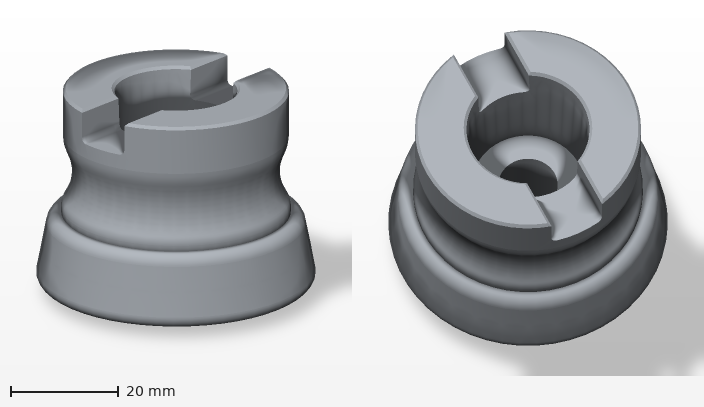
import math

import cadquery as cq

total_height = 40.0
joint_height = 15.6
hole_radius = 11.0 / 2

foot_radius = 25.95
foot_flat_radius = 14.65
foot_taper = math.radians(10.8)
foot_lower_round = 1.95
foot_upper_round = 2.5

rim_radius = 42.0 / 2
bulge_radius = 42.7 / 2
waist_radius = 19.3
waist_height = 23.65
waist_arc = 9.95
rim_bottom = 30.85
waist_top = 27.95
waist_bottom = 18.3
edge_chamfer = 0.5

bore_top_radius = 11.45
bore_floor_radius = 10.45
bore_floor_height = 18.2

slot_width = 10.5
slot_depth = 6.4
slot_corner_round = 1.05


def point_on_circle(center, radius, angle):
    return (center[0] + radius * math.cos(angle), center[1] + radius * math.sin(angle))


def revolve_profile(profile):
    """Turn a closed profile of (radius, height) about the Z axis."""
    return profile.close().revolve(360, (0, 0, 0), (0, 1, 0))


def make_foot():
    lower_r = foot_radius - foot_lower_round
    lower_z = (lower_r - foot_flat_radius) * math.tan(foot_taper) + foot_lower_round / math.cos(foot_taper)
    lower_center = (lower_r, lower_z)

    upper_z = joint_height - foot_upper_round
    upper_r = (
        lower_r
        - (upper_z - lower_z) * math.tan(foot_taper)
        + (foot_lower_round - foot_upper_round) / math.cos(foot_taper)
    )
    upper_center = (upper_r, upper_z)

    profile = (
        cq.Workplane("XZ")
        .moveTo(hole_radius, 0)
        .lineTo(foot_flat_radius, 0)
        .lineTo(*point_on_circle(lower_center, foot_lower_round, foot_taper - math.pi / 2))
        .threePointArc(
            (foot_radius, lower_z),
            point_on_circle(lower_center, foot_lower_round, foot_taper),
        )
        .lineTo(*point_on_circle(upper_center, foot_upper_round, foot_taper))
        .threePointArc(
            point_on_circle(upper_center, foot_upper_round, math.pi / 4),
            (upper_r, joint_height),
        )
        .lineTo(hole_radius, joint_height)
    )
    return revolve_profile(profile)


def waist_profile_radius(height):
    return waist_radius + waist_arc - math.sqrt(waist_arc**2 - (height - waist_height) ** 2)


def make_collar_blank():
    waist_top_radius = waist_profile_radius(waist_top)
    waist_bottom_radius = waist_profile_radius(waist_bottom)
    slope = math.asin((waist_height - waist_bottom) / waist_arc)
    bulge_arc = (bulge_radius - waist_bottom_radius) / (1 - math.cos(slope))
    bulge_top = waist_bottom - bulge_arc * math.sin(slope)

    profile = (
        cq.Workplane("XZ")
        .moveTo(hole_radius, joint_height)
        .lineTo(bulge_radius, joint_height)
        .lineTo(bulge_radius, bulge_top)
        .threePointArc(
            point_on_circle((bulge_radius - bulge_arc, bulge_top), bulge_arc, slope / 2),
            (waist_bottom_radius, waist_bottom),
        )
        .threePointArc((waist_radius, waist_height), (waist_top_radius, waist_top))
        .tangentArcPoint((rim_radius, rim_bottom), relative=False)
        .lineTo(rim_radius, total_height - edge_chamfer)
        .lineTo(rim_radius - edge_chamfer, total_height)
        .lineTo(bore_top_radius + edge_chamfer, total_height)
        .lineTo(bore_top_radius, total_height - edge_chamfer)
        .lineTo(bore_floor_radius, bore_floor_height)
        .lineTo(hole_radius, bore_floor_height)
    )
    return revolve_profile(profile)


def make_slot_cutter():
    half_width = slot_width / 2
    floor = total_height - slot_depth
    half_mouth = half_width + edge_chamfer
    half_length = foot_radius
    cutter = (
        cq.Workplane("XZ")
        .polyline([
            (-half_width, floor),
            (half_width, floor),
            (half_width, total_height - edge_chamfer),
            (half_mouth, total_height),
            (-half_mouth, total_height),
            (-half_width, total_height - edge_chamfer),
        ])
        .close()
        .extrude(half_length, both=True)
    )
    return cutter.faces("<Z").edges("|Y").fillet(slot_corner_round)


foot = make_foot()
collar = make_collar_blank().cut(make_slot_cutter())

result = cq.Compound.makeCompound([foot.val(), *collar.solids().vals()])